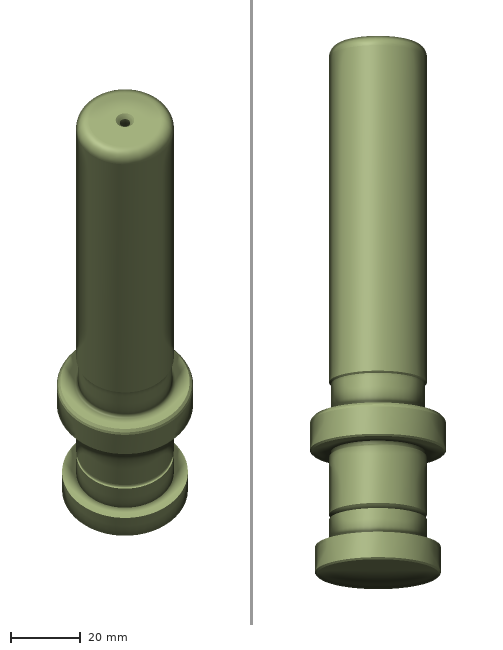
import cadquery as cq
import math

TOTAL_HEIGHT = 156.0
CAP_HEIGHT = 16.0

SHAFT_RADIUS = 14.0
CAP_DISC_RADIUS = 18.0
CAP_DISC_HEIGHT = 8.0
CAP_CHAMFER = 0.5

POST_FOOT_CHAMFER = 1.5
FLANGE_RADIUS = 19.5
FLANGE_BOTTOM = 36.0
FLANGE_HEIGHT = 10.0
FLANGE_TOP = FLANGE_BOTTOM + FLANGE_HEIGHT
FLANGE_BEVEL_HEIGHT = 1.4
FLANGE_BEVEL_WIDTH = 1.0
FLANGE_KNEE_DEPTH = 0.7
FLANGE_KNEE_INSET = 0.3
FLANGE_BOTTOM_CHAMFER = 0.5
RELIEF_DEPTH = 0.5
RELIEF_RADIUS = SHAFT_RADIUS - RELIEF_DEPTH
LOWER_RELIEF_HEIGHT = 1.5
UPPER_RELIEF_HEIGHT = 10.5
NECK_FILLET = 1.0
TIP_ROUND = 3.5

CENTER_HOLE_RADIUS = 1.5
CENTER_MOUTH_RADIUS = 2.65
CENTER_HOLE_DEPTH = 5.5
COUNTERSINK_ANGLE = 90.0
DRILL_POINT_ANGLE = 120.0

ROUND_MIDPOINT = math.sin(math.radians(45))


def revolve_about_z(profile):
    """Turn a closed profile (x = radius, y = height) around the Z axis."""
    return profile.close().revolve(360, (0, 0, 0), (0, 1, 0))


def make_cap():
    profile = (
        cq.Workplane("XZ")
        .lineTo(CAP_DISC_RADIUS - CAP_CHAMFER, 0)
        .lineTo(CAP_DISC_RADIUS, CAP_CHAMFER)
        .lineTo(CAP_DISC_RADIUS, CAP_DISC_HEIGHT)
        .lineTo(SHAFT_RADIUS, CAP_DISC_HEIGHT)
        .lineTo(SHAFT_RADIUS, CAP_HEIGHT)
        .lineTo(0, CAP_HEIGHT)
    )
    return revolve_about_z(profile)


def make_post_blank():
    lower_relief_end = FLANGE_BOTTOM - LOWER_RELIEF_HEIGHT
    upper_relief_end = FLANGE_TOP + UPPER_RELIEF_HEIGHT
    neck_center_radius = RELIEF_RADIUS + NECK_FILLET
    neck_center_height = FLANGE_TOP + NECK_FILLET
    tip_flat_radius = SHAFT_RADIUS - TIP_ROUND
    tip_round_height = TOTAL_HEIGHT - TIP_ROUND

    profile = (
        cq.Workplane("XZ")
        .moveTo(0, CAP_HEIGHT)
        .lineTo(SHAFT_RADIUS - POST_FOOT_CHAMFER, CAP_HEIGHT)
        .lineTo(SHAFT_RADIUS, CAP_HEIGHT + POST_FOOT_CHAMFER)
        .lineTo(SHAFT_RADIUS, lower_relief_end)
        .lineTo(RELIEF_RADIUS, lower_relief_end + RELIEF_DEPTH)
        .lineTo(RELIEF_RADIUS, FLANGE_BOTTOM)
        .lineTo(FLANGE_RADIUS - FLANGE_BOTTOM_CHAMFER, FLANGE_BOTTOM)
        .lineTo(FLANGE_RADIUS, FLANGE_BOTTOM + FLANGE_BOTTOM_CHAMFER)
        .lineTo(FLANGE_RADIUS, FLANGE_TOP - FLANGE_BEVEL_HEIGHT)
        .lineTo(FLANGE_RADIUS - FLANGE_KNEE_INSET, FLANGE_TOP - FLANGE_KNEE_DEPTH)
        .lineTo(FLANGE_RADIUS - FLANGE_BEVEL_WIDTH, FLANGE_TOP)
        .lineTo(neck_center_radius, FLANGE_TOP)
        .threePointArc(
            (
                neck_center_radius - NECK_FILLET * ROUND_MIDPOINT,
                neck_center_height - NECK_FILLET * ROUND_MIDPOINT,
            ),
            (RELIEF_RADIUS, neck_center_height),
        )
        .lineTo(RELIEF_RADIUS, upper_relief_end - RELIEF_DEPTH)
        .lineTo(SHAFT_RADIUS, upper_relief_end)
        .lineTo(SHAFT_RADIUS, tip_round_height)
        .threePointArc(
            (
                tip_flat_radius + TIP_ROUND * ROUND_MIDPOINT,
                tip_round_height + TIP_ROUND * ROUND_MIDPOINT,
            ),
            (tip_flat_radius, TOTAL_HEIGHT),
        )
        .lineTo(0, TOTAL_HEIGHT)
    )
    return revolve_about_z(profile)


def make_center_hole():
    countersink_depth = (CENTER_MOUTH_RADIUS - CENTER_HOLE_RADIUS) / math.tan(
        math.radians(COUNTERSINK_ANGLE / 2)
    )
    point_height = CENTER_HOLE_RADIUS / math.tan(math.radians(DRILL_POINT_ANGLE / 2))
    hole_bottom = TOTAL_HEIGHT - CENTER_HOLE_DEPTH

    profile = (
        cq.Workplane("XZ")
        .moveTo(0, TOTAL_HEIGHT)
        .lineTo(CENTER_MOUTH_RADIUS, TOTAL_HEIGHT)
        .lineTo(CENTER_HOLE_RADIUS, TOTAL_HEIGHT - countersink_depth)
        .lineTo(CENTER_HOLE_RADIUS, hole_bottom + point_height)
        .lineTo(0, hole_bottom)
    )
    return revolve_about_z(profile)


cap = make_cap()
post = make_post_blank().cut(make_center_hole())

result = cq.Compound.makeCompound([cap.val(), post.val()])